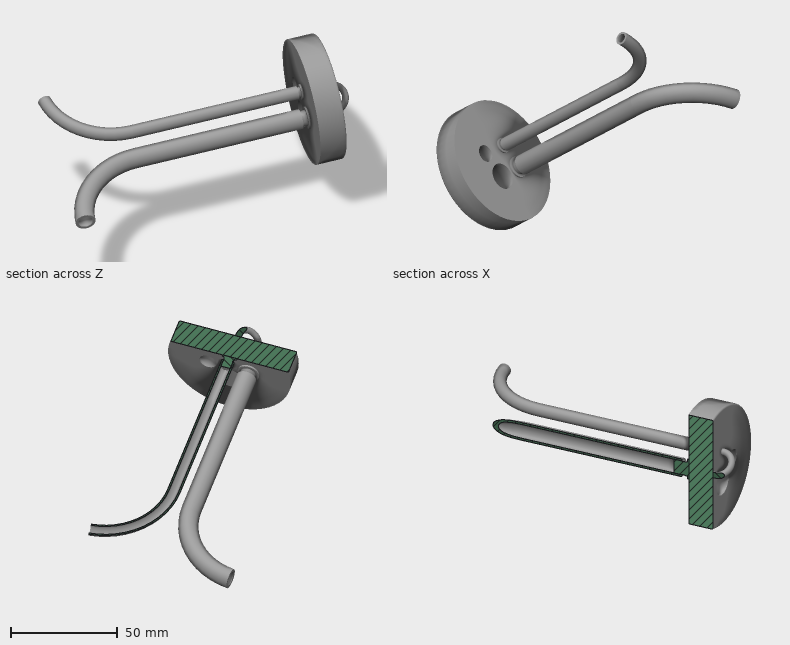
import cadquery as cq
import math

disc_diameter = 60.3
disc_thickness = 13.0
back_edge_fillet = 0.9
small_hole_diameter = 8.3
large_hole_diameter = 12.7
small_hole_center = (-10.5, 0)
large_hole_center = (0.1, -8.2)

straight_length = 80.8
bend_radius = 33.7
bend_angle = 84

small_tube_center = (0.1, 7.9)
small_tube_diameter = 6.3
small_tube_bore = 4.3
small_tube_gap = 2.2

large_tube_center = (9.6, 0)
large_tube_diameter = 9.5
large_tube_bore = 6.9
large_tube_gap = 3.5

flange_thickness = 0.9
small_flange_diameter = 7.3
large_flange_diameter = 10.5
collar_length = 0.5
collar_oversize = 0.7
spigot_insertion = 4.3

loop_rod_diameter = 3.2
loop_leg_length = 0.65


def xz_plane(y, center=(0, 0)):
    """Workplane across the Y axis at y, centred on (X, Z); extrusions from it run toward -Y."""
    return cq.Workplane("XZ", origin=(center[0], y, center[1]))


def make_disc():
    disc = xz_plane(disc_thickness).circle(disc_diameter / 2).extrude(disc_thickness)
    disc = disc.faces(">Y").edges().fillet(back_edge_fillet)
    for center, diameter in (
        (small_hole_center, small_hole_diameter),
        (large_hole_center, large_hole_diameter),
    ):
        hole = xz_plane(disc_thickness, center).circle(diameter / 2).extrude(disc_thickness)
        disc = disc.cut(hole)
    return disc


def make_tube(center, diameter, bore, gap, side):
    """Hollow tube starting at Y = -gap; side is +1 or -1 for a bend toward +X or -X."""
    bend_start_y = -gap - straight_length

    def ring(y):
        return xz_plane(y, center).circle(diameter / 2).circle(bore / 2)

    straight = ring(-gap).extrude(straight_length)
    pivot = (side * bend_radius, 0, 0)
    pivot_end = (side * bend_radius, side, 0)
    bend = ring(bend_start_y).revolve(bend_angle, pivot, pivot_end)
    return straight.union(bend)


def make_fitting(center, flange_diameter, bore, gap):
    """Solid of revolution about the tube axis; the spigot fills the bore past the gap."""
    x, z = center
    flange_radius = flange_diameter / 2
    spigot_radius = bore / 2
    collar_radius = (bore + collar_oversize) / 2
    taper_start_y = -flange_thickness - collar_length
    return (
        cq.Workplane("XY", origin=(x, 0, z))
        .moveTo(0, 0)
        .lineTo(flange_radius, 0)
        .lineTo(flange_radius, -flange_thickness)
        .lineTo(collar_radius, -flange_thickness)
        .lineTo(collar_radius, taper_start_y)
        .lineTo(spigot_radius, -gap)
        .lineTo(spigot_radius, -gap - spigot_insertion)
        .lineTo(0, -gap - spigot_insertion)
        .close()
        .revolve(360, (0, 0, 0), (0, 1, 0))
    )


def make_loop():
    start_x, start_z = small_tube_center
    end_x, end_z = large_tube_center
    span_x = end_x - start_x
    span_z = end_z - start_z
    arc_radius = math.hypot(span_x, span_z) / 2
    plane = cq.Plane(
        origin=((start_x + end_x) / 2, disc_thickness, (start_z + end_z) / 2),
        xDir=(span_x, 0, span_z),
        normal=(-span_z, 0, span_x),
    )
    path = (
        cq.Workplane(plane)
        .moveTo(-arc_radius, 0)
        .lineTo(-arc_radius, loop_leg_length)
        .threePointArc((0, loop_leg_length + arc_radius), (arc_radius, loop_leg_length))
        .lineTo(arc_radius, 0)
    )
    return xz_plane(disc_thickness, small_tube_center).circle(loop_rod_diameter / 2).sweep(path)


disc = make_disc()
small_tube = make_tube(small_tube_center, small_tube_diameter, small_tube_bore, small_tube_gap, side=-1)
large_tube = make_tube(large_tube_center, large_tube_diameter, large_tube_bore, large_tube_gap, side=1)
small_fitting = make_fitting(small_tube_center, small_flange_diameter, small_tube_bore, small_tube_gap)
large_fitting = make_fitting(large_tube_center, large_flange_diameter, large_tube_bore, large_tube_gap)
loop = make_loop()

result = cq.Compound.makeCompound([
    disc.val(),
    small_tube.val(),
    large_tube.val(),
    small_fitting.val(),
    large_fitting.val(),
    loop.val(),
])